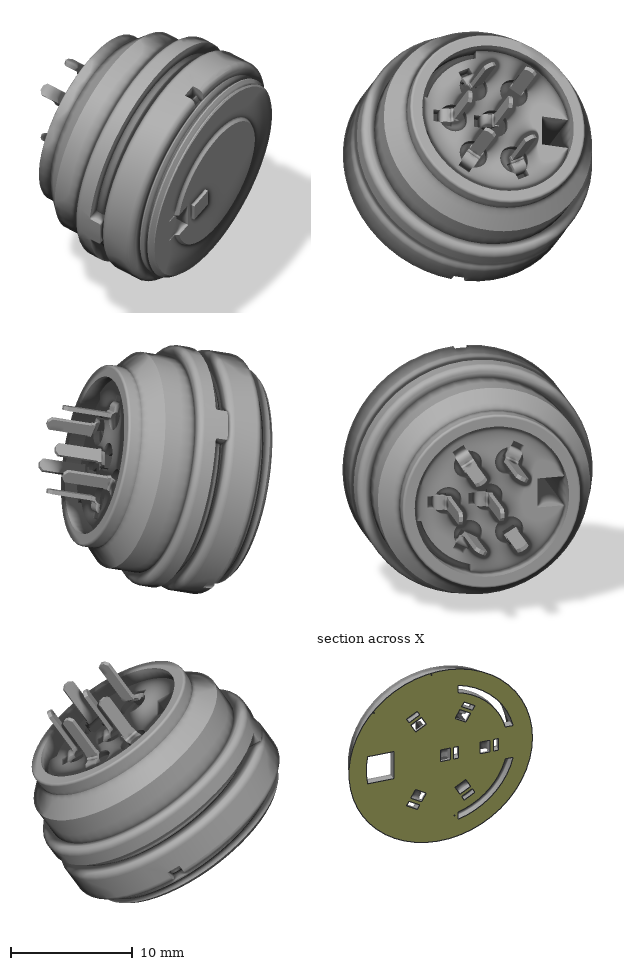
import cadquery as cq
import math


neck_start = 3.48
neck_end = 4.65
cone_end = 6.15
flange_start = 8.72
flange_end = 10.25
housing_end = 15.78

bore_radius = 13.1 / 2
neck_radius = 15.1 / 2
body_radius = 18.0 / 2
flange_radius = 20.0 / 2

neck_edge_radius = 0.2
flange_edge_radius = 0.5

tab_end = 11.28
tab_width = 2.55
tab_edge_radius = 0.15

four_turn_advance = 3.0
thread_pitch = four_turn_advance / 4
thread_depth = 0.4
thread_root_flat = 0.1
thread_crest_flat = 0.1
thread_start = 10.58
thread_start_z = -4.3
thread_end_chamfer = 0.38

nut_start = 11.35
nut_end = 14.35
nut_front_edge_radius = 0.55
nut_rear_edge_radius = 0.5
notch_width = 1.2
notch_length = 1.0

floor_x = 4.58
insert_end = 16.1
insert_end_radius = 5.85
insert_chamfer_height = 0.22

keyway_width = 2.55
keyway_inner_y = -4.15
key_width = 2.35
key_tip_radius = 5.4
key_length = 3.2
key_edge_radius = 0.55
key_end_radius = 1.0

pocket_inner_radius = 5.92
pocket_side_gap = 1.55
pocket_depth = 0.7

mark_height = 0.3
mark_width = 1.72
mark_length = 2.0
mark_center_y = -2.7

contact_circle_radius = 3.5
contact_angles = (0, 60, 120, 240, 300)
well_radius = 1.2
well_depth = 0.52
blade_thickness = 0.35
blade_width = 1.05
shoulder_x = 3.75
shoulder_width = 1.2
tip_chamfer_length = 0.32
tip_chamfer_width = 0.25
bridge_top = 4.22
bend_outer_offset = 1.15
bend_inner_radius = 0.18
slot_width = 1.05
slot_outer_offset = 1.7
slot_end_slope = 0.15
slot_depth = 0.8

overlap = 0.1


def cylinder_x(radius, start, end):
    """Solid cylinder on the X axis between two X stations."""
    return cq.Workplane("YZ", origin=(start, 0, 0)).circle(radius).extrude(end - start)


def box_between(x_range, y_range, z_range):
    """Box spanning the given (low, high) ranges."""
    (x0, x1), (y0, y1), (z0, z1) = x_range, y_range, z_range
    return cq.Workplane("XY").box(x1 - x0, y1 - y0, z1 - z0, centered=False).translate((x0, y0, z0))


def make_housing():
    """Neck, cone, body and flange, solid inside."""
    chamfered_radius = body_radius - thread_end_chamfer
    body = (
        cq.Workplane("XY")
        .moveTo(neck_start, 0)
        .lineTo(neck_start, neck_radius)
        .lineTo(neck_end, neck_radius)
        .lineTo(cone_end, body_radius)
        .lineTo(housing_end - thread_end_chamfer, body_radius)
        .lineTo(housing_end, chamfered_radius)
        .lineTo(housing_end, 0)
        .close()
        .revolve(360, (0, 0, 0), (1, 0, 0))
        .faces("<X").edges().fillet(neck_edge_radius)
    )
    flange = cylinder_x(flange_radius, flange_start, flange_end)
    flange = flange.faces("<X").edges().fillet(flange_edge_radius)
    threaded_body = body.intersect(make_threaded_rod())
    return threaded_body.union(flange).union(make_flange_tab())


def make_threaded_rod():
    """Rod longer than the housing at both ends, with the thread groove cut into it."""
    rod_end = housing_end + 3 * thread_pitch
    rod = cylinder_x(body_radius, neck_start - overlap, rod_end)
    return rod.cut(make_thread_groove())


def make_thread_groove():
    """Right-handed helical V groove, from beside the flange tab to past the end of the housing."""
    clearance = 0.05
    groove_half_width = (thread_pitch - thread_crest_flat) / 2
    root_half_width = thread_root_flat / 2
    flank_slope = (groove_half_width - root_half_width) / thread_depth
    outer_half_width = groove_half_width + flank_slope * clearance
    root_radius = body_radius - thread_depth
    length = housing_end + thread_pitch - thread_start

    helix = cq.Wire.makeHelix(thread_pitch, length, root_radius)
    profile = (
        cq.Workplane("XZ")
        .polyline([
            (root_radius, -root_half_width),
            (body_radius + clearance, -outer_half_width),
            (body_radius + clearance, outer_half_width),
            (root_radius, root_half_width),
        ])
        .close()
    )
    groove = profile.sweep(cq.Workplane(helix), isFrenet=True)

    angle_from_minus_z = math.degrees(math.acos(-thread_start_z / body_radius))
    return (
        groove.rotate((0, 0, 0), (0, 1, 0), 90)
        .rotate((0, 0, 0), (1, 0, 0), -angle_from_minus_z)
        .translate((thread_start, 0, 0))
    )


def make_flange_tab():
    """Tab that continues the flange rim towards the nut, blended at its root and rounded at its tip."""
    half_width = tab_width / 2
    radius = tab_edge_radius
    root = flange_end - overlap
    outline = (
        cq.Workplane("XZ")
        .moveTo(root, -half_width - radius)
        .lineTo(flange_end, -half_width - radius)
        .radiusArc((flange_end + radius, -half_width), radius)
        .lineTo(tab_end - radius, -half_width)
        .radiusArc((tab_end, -half_width + radius), -radius)
        .lineTo(tab_end, half_width - radius)
        .radiusArc((tab_end - radius, half_width), -radius)
        .lineTo(flange_end + radius, half_width)
        .radiusArc((flange_end, half_width + radius), radius)
        .lineTo(root, half_width + radius)
        .close()
        .extrude(flange_radius)
    )
    ring = cylinder_x(flange_radius, root, tab_end).cut(cylinder_x(body_radius - overlap, root, tab_end))
    return ring.intersect(outline)


def make_nut():
    """Rounded ring nut with one spanner notch at +Z and one at -Z, open down to the thread."""
    nut = cylinder_x(flange_radius, nut_start, nut_end)
    nut = nut.faces("<X").edges().fillet(nut_front_edge_radius)
    nut = nut.faces(">X").edges().fillet(nut_rear_edge_radius)
    nut = nut.cut(cylinder_x(body_radius - thread_depth - overlap, nut_start, nut_end))
    notches = box_between(
        (nut_end - notch_length, nut_end),
        (-notch_width / 2, notch_width / 2),
        (-flange_radius, flange_radius),
    )
    return nut.cut(notches)


def make_insert_end():
    """Chamfered end of the insert and the raised mark on its mating face."""
    cone = (
        cq.Workplane("XY")
        .moveTo(housing_end - overlap, 0)
        .lineTo(housing_end - overlap, insert_end_radius)
        .lineTo(housing_end, insert_end_radius)
        .lineTo(insert_end, insert_end_radius - insert_chamfer_height)
        .lineTo(insert_end, 0)
        .close()
        .revolve(360, (0, 0, 0), (1, 0, 0))
    )
    mark = box_between(
        (insert_end - overlap, insert_end + mark_height),
        (mark_center_y - mark_length / 2, mark_center_y + mark_length / 2),
        (-mark_width / 2, mark_width / 2),
    )
    return cone.union(mark)


def make_bore_pockets():
    """Two arc pockets sunk below the floor along the bore wall."""
    bottom = floor_x + pocket_depth
    ring = cylinder_x(bore_radius, floor_x, bottom).cut(cylinder_x(pocket_inner_radius, floor_x, bottom))
    quadrant = box_between(
        (floor_x, bottom), (pocket_side_gap, bore_radius), (pocket_side_gap, bore_radius)
    )
    upper = ring.intersect(quadrant)
    return upper.union(upper.mirror("XY"))


def make_keyway():
    """Slot that runs through the insert, bounded outside by the bore."""
    slot = box_between(
        (floor_x, insert_end),
        (-bore_radius, keyway_inner_y),
        (-keyway_width / 2, keyway_width / 2),
    )
    return slot.intersect(cylinder_x(bore_radius, floor_x, insert_end))


def make_key():
    """Rounded key that stands inward from the bore wall, flush with the end of the housing."""
    block = box_between(
        (housing_end - key_length, housing_end),
        (-bore_radius - overlap, -key_tip_radius),
        (-key_width / 2, key_width / 2),
    )
    block = block.edges("<X and >Y").fillet(key_end_radius)
    return block.faces(">Z or <Z").edges("not (<Y or >X or <X)").fillet(key_edge_radius)


def make_contact_recess():
    """Round well in the floor with a slot reaching outward past it to a sloped end wall."""
    well = cylinder_x(well_radius, floor_x, floor_x + well_depth)
    slot_bottom = floor_x + slot_depth
    slot = (
        cq.Workplane("XY")
        .polyline([
            (floor_x, 0),
            (floor_x, slot_outer_offset),
            (slot_bottom, slot_outer_offset - slot_end_slope),
            (slot_bottom, 0),
        ])
        .close()
        .extrude(slot_width / 2, both=True)
    )
    return well.union(slot)


def make_contact():
    """Flat blade with a chamfered tip and a wider shoulder that bends outward and down into the slot."""
    half_thickness = blade_thickness / 2
    bottom = floor_x + slot_depth + overlap
    bend_outer_radius = bend_inner_radius + blade_thickness

    blade = box_between(
        (0, shoulder_x + overlap),
        (-half_thickness, half_thickness),
        (-blade_width / 2, blade_width / 2),
    )
    blade = blade.edges("<X and |Y").chamfer(tip_chamfer_length, tip_chamfer_width)

    outer = bend_outer_offset
    inner = bend_outer_offset - blade_thickness
    bridge_bottom = bridge_top + blade_thickness
    bend = (
        cq.Workplane("XY")
        .moveTo(shoulder_x, -half_thickness)
        .lineTo(shoulder_x, half_thickness)
        .lineTo(bridge_top - bend_inner_radius, half_thickness)
        .radiusArc((bridge_top, half_thickness + bend_inner_radius), bend_inner_radius)
        .lineTo(bridge_top, outer - bend_outer_radius)
        .radiusArc((bridge_top + bend_outer_radius, outer), bend_outer_radius)
        .lineTo(bottom, outer)
        .lineTo(bottom, inner)
        .lineTo(bridge_bottom + bend_inner_radius, inner)
        .radiusArc((bridge_bottom, inner - bend_inner_radius), -bend_inner_radius)
        .lineTo(bridge_bottom, bend_outer_radius - half_thickness)
        .radiusArc((bridge_bottom - bend_outer_radius, -half_thickness), -bend_outer_radius)
        .close()
        .extrude(shoulder_width / 2, both=True)
    )
    return blade.union(bend)


def place_contacts(shape):
    """Copies of a contact shape at the centre and around the contact circle."""
    placed = [shape]
    for angle in contact_angles:
        outer = shape.translate((0, contact_circle_radius, 0))
        placed.append(outer.rotate((0, 0, 0), (1, 0, 0), angle))
    return placed


result = make_housing().union(make_nut()).union(make_insert_end())
result = result.cut(cylinder_x(bore_radius, neck_start, floor_x))
result = result.cut(make_bore_pockets()).cut(make_keyway())
for recess in place_contacts(make_contact_recess()):
    result = result.cut(recess)
for contact in place_contacts(make_contact()):
    result = result.union(contact)
result = result.union(make_key())